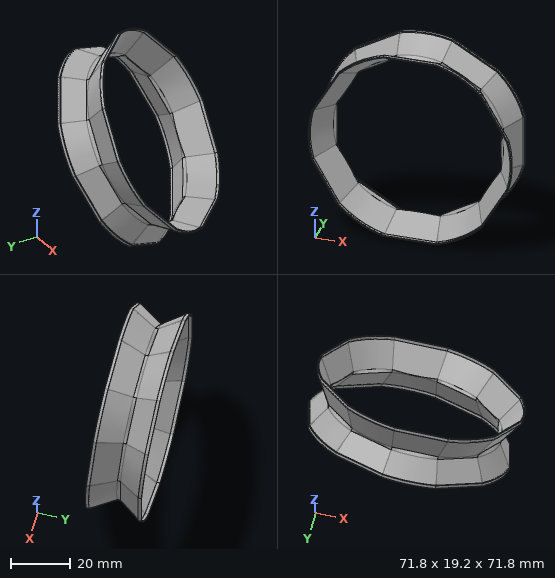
import cadquery as cq
import math

rim_radius = 35.9
waist_radius = 30.8
rim_wall = 0.4
waist_wall = 0.7
waist_bow = 0.2
rim_width = 1.15
waist_width = 1.1
front_flare = 8.5
back_flare = 7.3

sector_count = 12
sector = 360.0 / sector_count
flat_ratio = math.cos(math.radians(sector / 2))
front_flat_parity = 1
back_flat_parity = 0

front_face = -(2 * rim_width + front_flare + waist_width + back_flare) / 2
front_rim_end = front_face + rim_width
waist_start = front_rim_end + front_flare
waist_end = waist_start + waist_width
back_rim_start = waist_end + back_flare
back_face = back_rim_start + rim_width


def point(radius, y, angle):
    """Point at an angle measured from +X towards +Z."""
    turn = math.radians(angle)
    return cq.Vector(radius * math.cos(turn), y, radius * math.sin(turn))


def section(radius, y, flat_parity, bow=0.0, bow_shift=0.0):
    """Closed outline of alternating flats and arcs.

    A bow moves the middle of each flat inwards, and bow_shift moves it along Y.
    """
    edges = []
    apothem = radius * flat_ratio
    for index in range(sector_count):
        angle = index * sector
        start = point(radius, y, angle - sector / 2)
        end = point(radius, y, angle + sector / 2)
        is_flat = index % 2 == flat_parity
        if is_flat and bow == 0:
            edges.append(cq.Edge.makeLine(start, end))
            continue
        middle = point(apothem - bow, y + bow_shift, angle) if is_flat else point(radius, y, angle)
        edges.append(cq.Edge.makeThreePointArc(start, middle, end))
    return cq.Wire.assembleEdges(edges)


def spool(rim, waist, bow=0.0):
    """Solid double flare whose flats swap places with its arcs across the waist."""
    shift_per_flare = bow / ((rim - waist) * flat_ratio)
    front_shift = front_flare * shift_per_flare
    back_shift = -back_flare * shift_per_flare
    sections = [
        section(rim, front_face, front_flat_parity),
        section(rim, front_rim_end, front_flat_parity),
        section(waist, waist_start, front_flat_parity, bow, front_shift),
        section(waist, waist_end, back_flat_parity, bow, back_shift),
        section(rim, back_rim_start, back_flat_parity),
        section(rim, back_face, back_flat_parity),
    ]
    return cq.Workplane(obj=cq.Solid.makeLoft(sections, True))


outside = spool(rim_radius, waist_radius)
inside = spool(rim_radius - rim_wall, waist_radius - waist_wall, waist_bow)
result = outside.cut(inside)